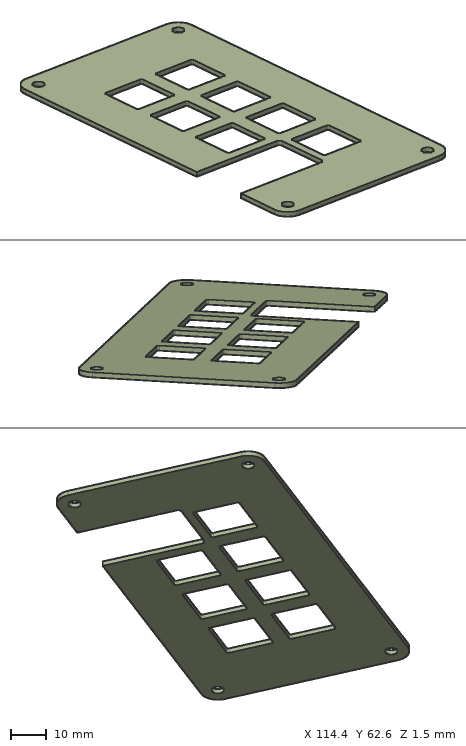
import cadquery as cq

length = 114.4
width = 62.6
thickness = 1.5
corner_radius = 5.0

hole_diameter = 3.4
hole_spacing_x = length - 2 * corner_radius
hole_spacing_y = width - 2 * corner_radius

window_size = 14.0
window_radius = 0.5
pitch = 19.0
row_lengths = [4, 3]
columns = max(row_lengths)
rows = len(row_lengths)

notch_width = 18.5
notch_center_x = 29.0
notch_end_y = -0.1
notch_radius = 1.0
notch_depth = notch_end_y + width / 2


def make_plate():
    plate = cq.Workplane("XY").box(length, width, thickness)
    return plate.edges("|Z").fillet(corner_radius)


def window_centers():
    return [
        ((column - (columns - 1) / 2) * pitch, ((rows - 1) / 2 - row) * pitch)
        for row, count in enumerate(row_lengths)
        for column in range(count)
    ]


def make_windows():
    windows = cq.Workplane("XY").pushPoints(window_centers())
    windows = windows.box(window_size, window_size, thickness)
    return windows.edges("|Z").fillet(window_radius)


def make_notch():
    notch_center_y = notch_end_y - notch_depth / 2
    notch = cq.Workplane("XY").box(notch_width, notch_depth, thickness)
    notch = notch.edges("|Z and >Y").fillet(notch_radius)
    return notch.translate((notch_center_x, notch_center_y, 0))


def make_screw_holes():
    centers = cq.Workplane("XY").rect(hole_spacing_x, hole_spacing_y, forConstruction=True).vertices()
    return centers.circle(hole_diameter / 2).extrude(thickness / 2, both=True)


result = make_plate().cut(make_windows()).cut(make_notch()).cut(make_screw_holes())